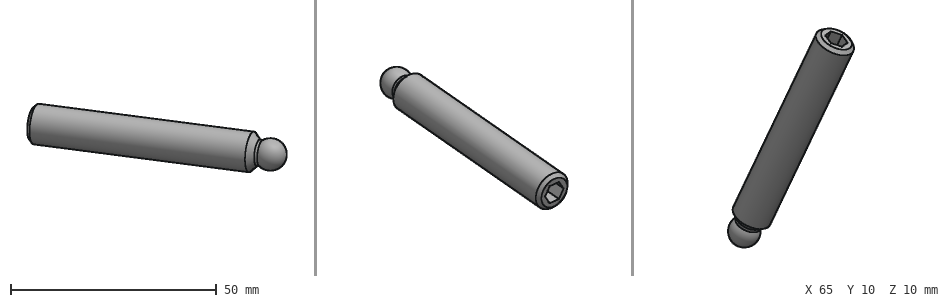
import cadquery as cq
import math

length = 65.0
shank_diameter = 10.0
ball_diameter = 8.0
neck_diameter = 6.5
neck_length = 0.8
end_chamfer = 1.0
hex_across_flats = 5.0
hex_depth = 5.0

shank_radius = shank_diameter / 2
ball_radius = ball_diameter / 2
neck_radius = neck_diameter / 2
ball_center = length - ball_radius
neck_end = ball_center - math.sqrt(ball_radius**2 - neck_radius**2)
neck_start = neck_end - neck_length
shoulder_start = neck_start - (shank_radius - neck_radius)


def turned_body():
    """Chamfered shank, conical shoulder, neck and ball revolved about X."""
    return (
        cq.Workplane("XY")
        .moveTo(0, 0)
        .lineTo(0, shank_radius - end_chamfer)
        .lineTo(end_chamfer, shank_radius)
        .lineTo(shoulder_start, shank_radius)
        .lineTo(neck_start, neck_radius)
        .lineTo(neck_end, neck_radius)
        .threePointArc((ball_center, ball_radius), (length, 0))
        .close()
        .revolve(360, (0, 0, 0), (1, 0, 0))
    )


def hex_socket():
    """Blind hexagon socket with two corners on the Y axis."""
    across_corners = hex_across_flats / math.cos(math.pi / 6)
    return cq.Workplane("YZ").polygon(6, across_corners).extrude(hex_depth)


result = turned_body().cut(hex_socket())